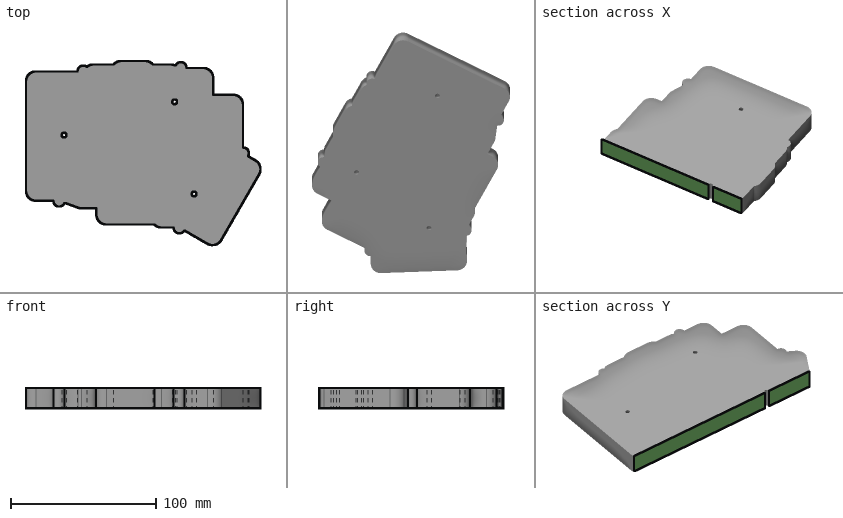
import cadquery as cq
import math

length = 161.56
width = 126.85
thickness = 14.1
corner_radius = 7.0
bump_radius = 4.0
hole_diameter = 3.2

column_stagger = 2.375
rear_peak = width
rear_mid = rear_peak - column_stagger
rear_right = rear_peak - 2 * column_stagger
rear_left = rear_peak - 3 * column_stagger
rear_inner = 103.7

front_left = 30.5
front_ramp = 25.3
front_inner = 14.2
front_right = 12.1

mid_left_wall = 39.5
peak_left_wall = 58.6
peak_right_wall = 89.2
mid_right_wall = 106.6
right_wall = 129.0
inner_left_wall = 48.4
inner_right_wall = 149.5
front_right_left_wall = 86.4

ramp_start = 22.9
ramp_angle = 20.0

thumb_angle = 30.0
thumb_front_arc_x = 128.4
thumb_length = 50.0

screw_holes = [(26.3, 75.8), (102.4, 98.7), (115.8, 35.3)]


def rounded_block(left, right, front, rear):
    """Full-height block with all four upright edges rounded."""
    block = cq.Workplane("XY").box(right - left, rear - front, thickness, centered=False)
    return block.edges("|Z").fillet(corner_radius).translate((left, front, 0))


def column_blocks():
    """Overlapping blocks; the corners left exposed form the stepped outline."""
    blocks = rounded_block(0, peak_right_wall, front_left, rear_left)
    blocks = blocks.union(rounded_block(mid_left_wall, mid_right_wall, front_left, rear_mid))
    blocks = blocks.union(rounded_block(peak_left_wall, peak_right_wall, front_left, rear_peak))
    blocks = blocks.union(rounded_block(peak_left_wall, right_wall, front_left, rear_right))
    blocks = blocks.union(rounded_block(inner_left_wall, right_wall, front_inner, rear_inner))
    blocks = blocks.union(rounded_block(inner_left_wall, inner_right_wall, front_left, rear_inner))
    return blocks.union(rounded_block(front_right_left_wall, right_wall, front_right, rear_inner))


def front_ramp_block():
    """Sloped front edge that blends into the straight edge with a rounded corner."""
    drop = front_left - front_ramp
    ramp_end = ramp_start + drop / math.tan(math.radians(ramp_angle))
    profile = [
        (ramp_start, front_left),
        (ramp_end, front_ramp),
        (peak_left_wall, front_ramp),
        (peak_left_wall, rear_left - corner_radius),
        (ramp_start, rear_left - corner_radius),
    ]
    block = cq.Workplane("XY").polyline(profile).close().extrude(thickness)
    bend = cq.selectors.NearestToPointSelector((ramp_end, front_ramp, thickness / 2))
    return block.edges("|Z").edges(bend).fillet(corner_radius)


def thumb_block():
    """Rotated block whose outer end carries the two rounded corners."""
    arc_spacing = (length - corner_radius - thumb_front_arc_x) / math.sin(math.radians(thumb_angle))
    block = rounded_block(
        corner_radius - thumb_length, corner_radius, -corner_radius, arc_spacing + corner_radius
    )
    block = block.rotate((0, 0, 0), (0, 0, 1), -thumb_angle)
    return block.translate((thumb_front_arc_x, corner_radius, 0))


def bump_centers():
    """Bumps fill the inner corners where two blocks meet."""
    slope = math.tan(math.radians(thumb_angle))
    side_rise = corner_radius / math.cos(math.radians(thumb_angle))
    front_level = corner_radius - side_rise
    front_meeting_x = thumb_front_arc_x - (front_right - front_level) / slope
    rear_arc_x = length - corner_radius
    rear_arc_y = corner_radius + (rear_arc_x - thumb_front_arc_x) / slope
    rear_meeting_y = rear_arc_y + side_rise + (rear_arc_x - inner_right_wall) * slope
    return [
        (mid_left_wall, rear_left),
        (mid_right_wall, rear_right),
        (inner_right_wall, rear_meeting_y),
        (front_meeting_x, front_right),
        (ramp_start, front_left),
    ]


body = column_blocks().union(front_ramp_block()).union(thumb_block())
bumps = cq.Workplane("XY").pushPoints(bump_centers()).circle(bump_radius).extrude(thickness)
holes = cq.Workplane("XY").pushPoints(screw_holes).circle(hole_diameter / 2).extrude(thickness)
result = body.union(bumps).cut(holes)